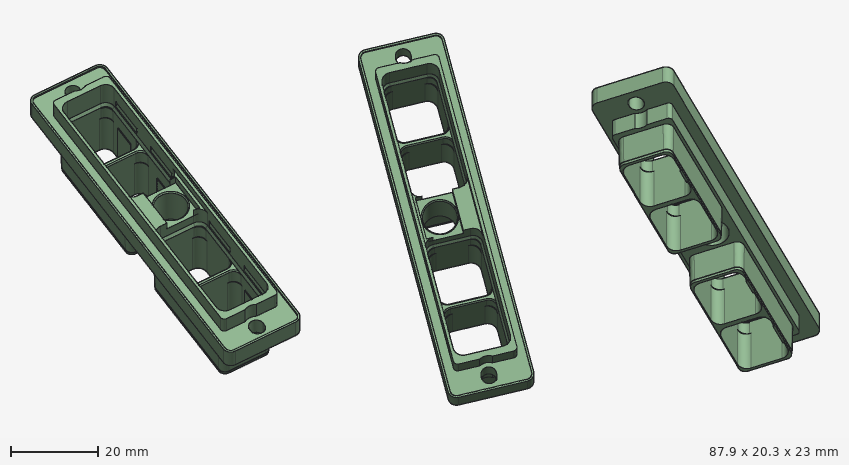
import cadquery as cq

top_z = 22.98
flange_top_z = 19.05
flange_bottom_z = 14.0
body_bottom_z = 8.98
bridge_top_z = 21.0
cavity_floor_z = 16.3
partition_top_z = 15.45
corner_ledge_z = 11.5

flange_length = 87.86
flange_width = 20.26
flange_corner_radius = 2.0
rim_width = 0.5
rim_height = 0.5
screw_x = 40.2
screw_slot_length = 4.1
screw_slot_width = 3.6
screw_head_relief_radius = 3.15

body_length = 74.9
body_width = 15.0
body_corner_radius = 1.0

cavity_length = 71.3
cavity_width = 13.5
cavity_corner_radius = 2.3
bridge_length = 10.4

socket_length = 31.3
socket_width = 13.6
socket_corner_radius = 1.85
socket_draft = 1.0
tip_height = 0.8
tip_inset = 0.25

shoulder_width = 0.5
partition_thickness = 1.2
partition_bevel = 0.3
window_corner_radius = 2.0
lower_window_corner_radius = 2.4

stop_spans = [(-30.7, -25.1), (-13.5, -9.5), (24.9, 28.9)]
stop_projection = 0.25

latch_length = 9.2
latch_top_z = 18.65
latch_bottom_z = 16.95
latch_depth = 0.65

platform_z = 18.9
platform_back_y = 6.0
platform_front_y = -2.75
contact_y = 1.5
contact_diameter = 8.0
contact_chamfer = 0.3

pocket_length = (cavity_length - bridge_length) / 2
pocket_x = (cavity_length + bridge_length) / 4
opening_length = pocket_length - 2 * shoulder_width
window_length = (opening_length - partition_thickness) / 2
window_width = cavity_width - 2 * shoulder_width
window_offset = (window_length + partition_thickness) / 2
window_centers = [side * pocket_x + step * window_offset for side in (-1, 1) for step in (-1, 1)]


def rounded_block(length, width, radius, bottom_z, height, x=0):
    block = cq.Workplane("XY").box(length, width, height, centered=(True, True, False))
    return block.edges("|Z").fillet(radius).translate((x, 0, bottom_z))


def flared_block(length, width, radius, flare, bottom_z, height, x):
    lower = cq.Sketch().rect(length, width).vertices().fillet(radius)
    upper = cq.Sketch().rect(length + 2 * flare, width + 2 * flare).vertices().fillet(radius + flare)
    raised = upper.moved(cq.Location(cq.Vector(0, 0, height)))
    return cq.Workplane("XY", origin=(x, 0, bottom_z)).placeSketch(lower, raised).loft()


def span_block(x_range, y_range, z_range):
    size = [end - start for start, end in (x_range, y_range, z_range)]
    start = (x_range[0], y_range[0], z_range[0])
    return cq.Workplane("XY").box(*size, centered=False).translate(start)


def make_flange():
    flange = rounded_block(
        flange_length, flange_width, flange_corner_radius, flange_bottom_z, flange_top_z - flange_bottom_z
    )
    recess = rounded_block(
        flange_length - 2 * rim_width,
        flange_width - 2 * rim_width,
        flange_corner_radius - rim_width,
        flange_top_z - rim_height,
        rim_height,
    )
    return flange.cut(recess)


def make_body():
    body = rounded_block(body_length, body_width, body_corner_radius, body_bottom_z, top_z - body_bottom_z)
    reliefs = (
        cq.Workplane("XY", origin=(0, 0, body_bottom_z))
        .pushPoints([(-screw_x, 0), (screw_x, 0)])
        .circle(screw_head_relief_radius)
        .extrude(top_z - body_bottom_z)
    )
    return body.cut(reliefs)


def make_socket(x):
    shell = (
        cq.Workplane("XY", origin=(x, 0, body_bottom_z))
        .sketch()
        .rect(socket_length, socket_width)
        .vertices()
        .fillet(socket_corner_radius)
        .finalize()
        .extrude(tip_height - body_bottom_z, taper=socket_draft)
    )
    tip = rounded_block(
        socket_length - 2 * tip_inset,
        socket_width - 2 * tip_inset,
        socket_corner_radius - tip_inset,
        0,
        tip_height,
        x,
    )
    return shell.union(tip)


def make_cavity():
    cavity = rounded_block(
        cavity_length, cavity_width, cavity_corner_radius, bridge_top_z, top_z - bridge_top_z
    )
    for x in (-pocket_x, pocket_x):
        pocket = rounded_block(
            pocket_length, cavity_width, cavity_corner_radius, cavity_floor_z, top_z - cavity_floor_z, x
        )
        cavity = cavity.union(pocket)
    return cavity


def make_pocket_shoulder(x):
    return flared_block(
        opening_length,
        window_width,
        cavity_corner_radius - shoulder_width,
        shoulder_width,
        partition_top_z,
        cavity_floor_z - partition_top_z,
        x,
    )


def make_window(x):
    lower = rounded_block(window_length, window_width, lower_window_corner_radius, 0, corner_ledge_z, x)
    upper = rounded_block(
        window_length, window_width, window_corner_radius, corner_ledge_z, partition_top_z - corner_ledge_z, x
    )
    return lower.union(upper)


def make_partition_bevel(x):
    bevel_bottom_z = partition_top_z - partition_bevel
    opening = rounded_block(
        opening_length,
        window_width,
        cavity_corner_radius - shoulder_width,
        bevel_bottom_z,
        partition_bevel,
        x,
    )
    left_rim, right_rim = [
        flared_block(
            window_length,
            window_width,
            window_corner_radius,
            partition_bevel,
            bevel_bottom_z,
            partition_bevel,
            x + step * window_offset,
        )
        for step in (-1, 1)
    ]
    return left_rim.union(right_rim).intersect(opening)


def make_latch_recess(x):
    wall_y = cavity_width / 2
    return (
        cq.Workplane("YZ", origin=(x - latch_length / 2, 0, 0))
        .moveTo(wall_y, latch_bottom_z)
        .lineTo(wall_y + latch_depth, latch_top_z)
        .lineTo(wall_y, latch_top_z)
        .close()
        .extrude(latch_length)
    )


def make_stop(x_range):
    wall_y = window_width / 2
    return span_block(x_range, (wall_y - stop_projection, wall_y + stop_projection), (0, corner_ledge_z))


def make_platform_cut():
    half_length = bridge_length / 2
    trough = span_block(
        (-half_length, half_length), (platform_front_y, platform_back_y), (platform_z, bridge_top_z)
    )
    radius = contact_diameter / 2
    bore = (
        cq.Workplane("XY", origin=(0, contact_y, body_bottom_z))
        .circle(radius)
        .extrude(platform_z - body_bottom_z)
    )
    bevel = (
        cq.Workplane("XY", origin=(0, contact_y, platform_z))
        .circle(radius + contact_chamfer)
        .workplane(offset=-contact_chamfer)
        .circle(radius)
        .loft()
    )
    return trough.union(bore).union(bevel)


def make_screw_slots():
    return (
        cq.Workplane("XY", origin=(0, 0, flange_bottom_z))
        .pushPoints([(-screw_x, 0), (screw_x, 0)])
        .slot2D(screw_slot_length, screw_slot_width)
        .extrude(flange_top_z - flange_bottom_z)
    )


result = make_flange().union(make_body())
for socket_x in (-pocket_x, pocket_x):
    result = result.union(make_socket(socket_x))

result = result.cut(make_cavity()).cut(make_platform_cut()).cut(make_screw_slots())
for socket_x in (-pocket_x, pocket_x):
    result = result.cut(make_pocket_shoulder(socket_x)).cut(make_partition_bevel(socket_x))
for window_x in window_centers:
    result = result.cut(make_window(window_x)).cut(make_latch_recess(window_x))
for stop_span in stop_spans:
    result = result.union(make_stop(stop_span))